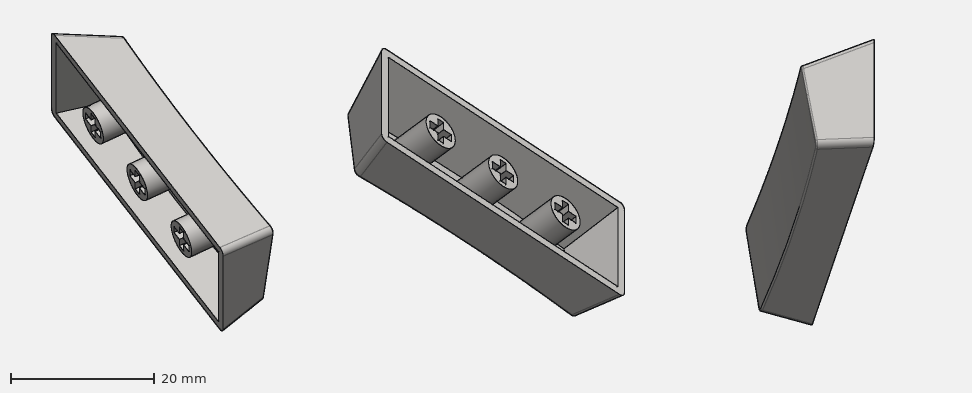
import cadquery as cq
import math

width = 46.6
height = 18.0
depth_top = 9.93
depth_bottom = 7.8
top_drop = 4.1
side_draft = 15.0
wall = 1.3
back_thickness = 1.2
corner_radius = 1.0
back_edge_radius = 0.3
outer_sag = 0.6
inner_sag = 0.55

stem_diameter = 5.6
stem_pitch = 11.98
stem_count = 3
cross_length = 4.05
cross_bar_horizontal = 1.3
cross_bar_vertical = 1.1
cross_depth = 4.65

trim_allowance = 1.85

half_height = height / 2
top_slope = top_drop / depth_top
back_slope = (depth_top - depth_bottom) / (height - top_drop)
back_tilt = math.degrees(math.atan(back_slope))
side_slope = math.tan(math.radians(side_draft))


def tapered_block(rim_width, rim_height, reach):
    """Block with a flat bottom, sloped top and drafted sides, reaching past the back face."""
    half_z = rim_height / 2
    half_x = rim_width / 2
    back_half_x = half_x - side_slope * reach
    profile = (
        cq.Workplane("YZ")
        .polyline([(0, -half_z), (reach, -half_z), (reach, half_z - top_slope * reach), (0, half_z)])
        .close()
        .extrude(half_x, both=True)
    )
    plan = (
        cq.Workplane("XY")
        .polyline([(-half_x, 0), (half_x, 0), (back_half_x, reach), (-back_half_x, reach)])
        .close()
        .extrude(half_z, both=True)
    )
    return profile.intersect(plan)


def space_behind(offset, sag):
    """Everything behind a tilted back surface that is hollowed by sag at mid width."""
    surface_y = depth_bottom - offset
    half_chord = width / 2 - side_slope * depth_top
    plane = cq.Plane(origin=(0, surface_y, -half_height), xDir=(1, 0, 0), normal=(0, 0, 1))
    plane = plane.rotated((-back_tilt, 0, 0))
    return (
        cq.Workplane(plane)
        .moveTo(-half_chord, 0)
        .threePointArc((0, -sag), (half_chord, 0))
        .lineTo(width, 0)
        .lineTo(width, width)
        .lineTo(-width, width)
        .lineTo(-width, 0)
        .close()
        .extrude(height, both=True)
    )


def outer_body():
    reach = depth_top + trim_allowance
    block = tapered_block(width, height, reach)
    long_edges = block.edges("not(<Y or >Y)")
    body = long_edges.fillet(corner_radius)
    body = body.cut(space_behind(0, outer_sag))
    return body.faces(">Y").edges().fillet(back_edge_radius)


def cavity():
    block = tapered_block(width - 2 * wall, height - 2 * wall, depth_top)
    return block.cut(space_behind(back_thickness, inner_sag))


def stem_positions():
    middle = (stem_count - 1) / 2
    return [((i - middle) * stem_pitch, 0) for i in range(stem_count)]


def stems():
    embed_depth = depth_top - back_thickness
    posts = (
        cq.Workplane("XZ")
        .pushPoints(stem_positions())
        .circle(stem_diameter / 2)
        .extrude(-embed_depth)
    )
    return posts.intersect(cavity())


def cross_sockets():
    sites = cq.Workplane("XZ").pushPoints(stem_positions())
    horizontal = sites.rect(cross_length, cross_bar_horizontal).extrude(-cross_depth)
    vertical = sites.rect(cross_bar_vertical, cross_length).extrude(-cross_depth)
    return horizontal.union(vertical)


result = outer_body().cut(cavity()).union(stems()).cut(cross_sockets())